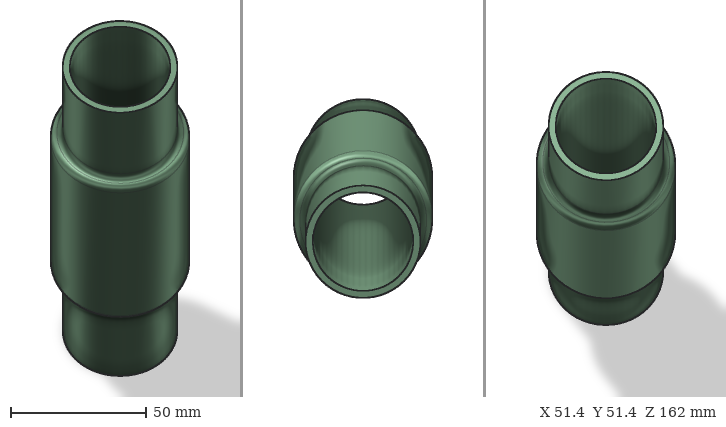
import cadquery as cq
import math

length = 162.0
body_diameter = 51.4
pipe_diameter = 42.5
bore_diameter = 37.1

pipe_end_length = 37.5
shoulder_length = 5.8

body_radius = body_diameter / 2
pipe_radius = pipe_diameter / 2
bore_radius = bore_diameter / 2
half_length = length / 2

shoulder_outer = half_length - pipe_end_length
shoulder_inner = shoulder_outer - shoulder_length

step = body_radius - pipe_radius
shoulder_radius = (shoulder_length**2 + step**2) / (4 * step)
arc_angle = math.asin(shoulder_length / 2 / shoulder_radius)

arc_mid_across = shoulder_radius * (1 - math.cos(arc_angle / 2))
arc_mid_along = shoulder_radius * math.sin(arc_angle / 2)


def shoulder_points(side):
    """Points (radius, height) from pipe to body; side is +1 for the top and -1 for the bottom."""
    return [
        (pipe_radius, side * shoulder_outer),
        (pipe_radius + arc_mid_across, side * (shoulder_outer - arc_mid_along)),
        (pipe_radius + step / 2, side * (shoulder_outer - shoulder_length / 2)),
        (body_radius - arc_mid_across, side * (shoulder_inner + arc_mid_along)),
        (body_radius, side * shoulder_inner),
    ]


def add_shoulder(outline, points):
    """Run a straight line up to the shoulder, then follow its two arcs."""
    start, first_mid, middle, second_mid, end = points
    return (
        outline.lineTo(*start)
        .threePointArc(first_mid, middle)
        .threePointArc(second_mid, end)
    )


section = cq.Workplane("XZ").moveTo(bore_radius, -half_length).lineTo(pipe_radius, -half_length)
section = add_shoulder(section, shoulder_points(-1))
section = add_shoulder(section, shoulder_points(1)[::-1])
section = section.lineTo(pipe_radius, half_length).lineTo(bore_radius, half_length).close()

result = section.revolve(360, (0, 0, 0), (0, 1, 0))